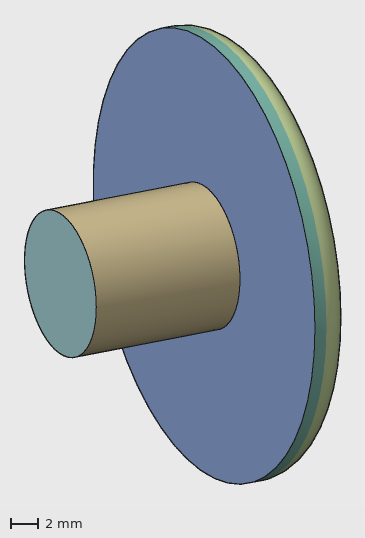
import cadquery as cq

head_diameter = 34.0
stem_diameter = 11.0
total_length = 15.0
head_thickness = 3.0
rim_radius = 2.0

stem_length = total_length - head_thickness

head = (
    cq.Workplane("XZ")
    .circle(head_diameter / 2)
    .extrude(-head_thickness)
    .faces(">Y")
    .edges()
    .fillet(rim_radius)
)

stem = cq.Workplane("XZ").circle(stem_diameter / 2).extrude(stem_length)

result = head.union(stem)